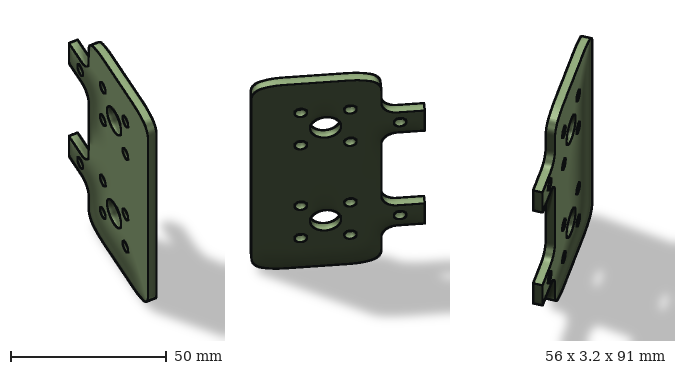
import cadquery as cq
import math

overall_width = 56.0
plate_height = 91
thickness = 3.2

tab_length = 14.0
tab_width = 10
tab_spacing = 46.05
tab_root_radius = 5.0
tab_hole_x = 8.0

corner_width = 10
side_arc_radius = 5.0
end_arc_radius = 20

small_hole_diameter = 4.0
large_hole_diameter = 10
large_hole_x = 32.0
bolt_square = 16.0

plate_left = tab_length
plate_right = overall_width
plate_top = plate_height / 2
plate_center_x = (plate_left + plate_right) / 2
tab_levels = (-tab_spacing / 2, tab_spacing / 2)

blend_angle = math.asin((corner_width - side_arc_radius) / (end_arc_radius - side_arc_radius))
side_arc_center_z = plate_top - end_arc_radius + (end_arc_radius - side_arc_radius) * math.cos(blend_angle)


def back_face_plane():
    """Workplane on the +Y face, so that extrusions run through the plate towards -Y."""
    return cq.Workplane("XZ", origin=(0, thickness / 2, 0))


def arc_point(center, radius, angle):
    """Point on an arc, with the angle measured from +Z towards +X."""
    return center[0] + radius * math.sin(angle), center[1] + radius * math.cos(angle)


def plate_body():
    """Plate with four two-arc corners, traced clockwise from the top right."""
    flat_end = (plate_right - corner_width, plate_top)
    end_center = (plate_right - corner_width, plate_top - end_arc_radius)
    side_center = (plate_right - side_arc_radius, side_arc_center_z)
    end_mid = arc_point(end_center, end_arc_radius, blend_angle / 2)
    blend = arc_point(end_center, end_arc_radius, blend_angle)
    side_mid = arc_point(side_center, side_arc_radius, (blend_angle + math.pi / 2) / 2)
    side_end = (plate_right, side_arc_center_z)

    def left(point):
        return 2 * plate_center_x - point[0], point[1]

    def lower(point):
        return point[0], -point[1]

    return (
        back_face_plane()
        .moveTo(*flat_end)
        .threePointArc(end_mid, blend)
        .threePointArc(side_mid, side_end)
        .lineTo(*lower(side_end))
        .threePointArc(lower(side_mid), lower(blend))
        .threePointArc(lower(end_mid), lower(flat_end))
        .lineTo(*left(lower(flat_end)))
        .threePointArc(left(lower(end_mid)), left(lower(blend)))
        .threePointArc(left(lower(side_mid)), left(lower(side_end)))
        .lineTo(*left(side_end))
        .threePointArc(left(side_mid), left(blend))
        .threePointArc(left(end_mid), left(flat_end))
        .close()
        .extrude(thickness)
    )


def tab(level):
    """Rectangular tab reaching into the plate as far as its middle."""
    return (
        back_face_plane()
        .center(plate_center_x / 2, level)
        .rect(plate_center_x, tab_width)
        .extrude(thickness)
    )


def round_cutters(points, diameter):
    return back_face_plane().pushPoints(points).circle(diameter / 2).extrude(thickness)


result = plate_body()
for tab_level in tab_levels:
    result = result.union(tab(tab_level))

tab_roots = [
    (plate_left, 0, level + side * tab_width / 2)
    for level in tab_levels
    for side in (-1, 1)
]
for root in tab_roots:
    root_edge = result.edges("|Y").edges(cq.selectors.NearestToPointSelector(root))
    result = root_edge.fillet(tab_root_radius)

for tab_level in tab_levels:
    small_holes = [(tab_hole_x, tab_level)]
    for x_side in (-1, 1):
        for z_side in (-1, 1):
            bolt_x = large_hole_x + x_side * bolt_square / 2
            bolt_z = tab_level + z_side * bolt_square / 2
            small_holes.append((bolt_x, bolt_z))
    result = result.cut(round_cutters(small_holes, small_hole_diameter))
    result = result.cut(round_cutters([(large_hole_x, tab_level)], large_hole_diameter))